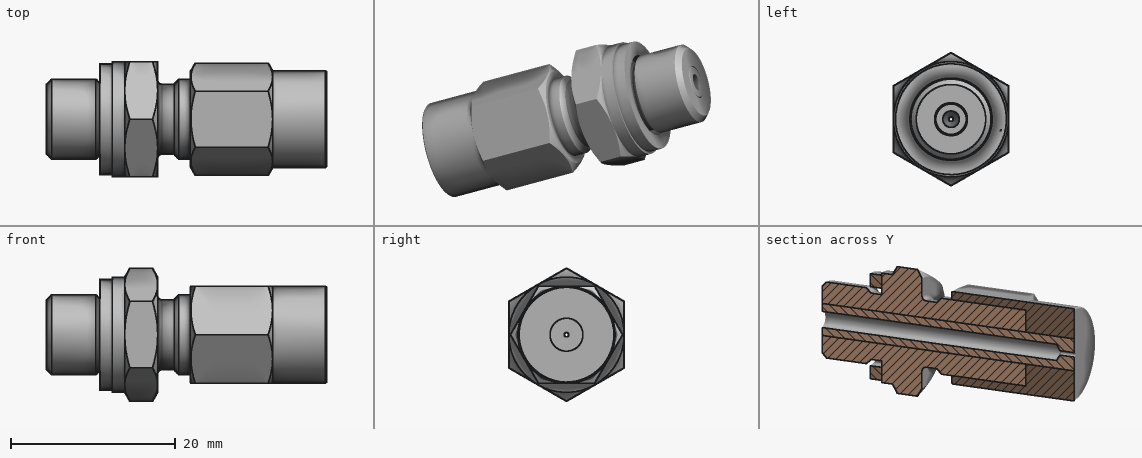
import cadquery as cq
import math


front_end_chamfer = 0.65
thread_diameter = 9.728
neck_diameter = 8.5
thread_tip_diameter = 8.566
thread_chamfer = (thread_diameter - thread_tip_diameter) / 2
front_thread_end = 6.0
collar_diameter = 14.0
collar_start = 8.0
hex_start = 9.5
hex_end = 13.5
neck_fillet = 0.5
rear_thread_start = 15.5

hex_chamfer_angle = math.radians(30)
corner_ratio = 1 / math.cos(math.pi / 6)
fitting_hex_flats = collar_diameter
corners_along_y = 0
corners_along_z = 90

seal_outer_diameter = 13.45
seal_inner_diameter = 10.0
seal_width = 1.5

nut_start = 17.45
nut_hex_end = 27.45
nut_end = 34.0
nut_diameter = 11.8
nut_face_diameter = 11.5
nut_edge_chamfer = 0.15
thread_end = nut_hex_end

core_diameter = 4.0
core_edge_chamfer = 0.15
bore_diameter = 2.0
orifice_diameter = 0.5
orifice_length = 2.0
drill_point_angle = math.radians(118)


def revolve_about_x(profile):
    """Revolve a closed half profile in the XY plane (y = radius) about the X axis."""
    return profile.close().revolve(360, (0, 0, 0), (1, 0, 0))


def rod(x_start, x_end, diameter):
    """Solid cylinder on the X axis."""
    return cq.Workplane("YZ", origin=(x_start, 0, 0)).circle(diameter / 2).extrude(x_end - x_start)


def chamfered_hex(x_start, x_end, flats, corner_turn, start_circle, end_circle):
    """Hexagonal prism on X whose corners are cut by a 30 degree cone at each end."""
    corner_radius = flats * corner_ratio / 2
    start_radius = start_circle / 2
    end_radius = end_circle / 2
    start_run = (corner_radius - start_radius) * math.tan(hex_chamfer_angle)
    end_run = (corner_radius - end_radius) * math.tan(hex_chamfer_angle)
    prism = (
        cq.Workplane("YZ", origin=(x_start, 0, 0))
        .polygon(6, 2 * corner_radius)
        .extrude(x_end - x_start)
        .rotate((0, 0, 0), (1, 0, 0), corner_turn)
    )
    envelope = revolve_about_x(
        cq.Workplane("XY")
        .moveTo(x_start, 0)
        .lineTo(x_start, start_radius)
        .lineTo(x_start + start_run, corner_radius)
        .lineTo(x_end - end_run, corner_radius)
        .lineTo(x_end, end_radius)
        .lineTo(x_end, 0)
    )
    return prism.intersect(envelope)


def make_fitting():
    """Two threads with relief necks, a round collar and a hexagon, bored for the core."""
    thread_radius = thread_diameter / 2
    tip_radius = thread_tip_diameter / 2
    neck_radius = neck_diameter / 2
    collar_radius = collar_diameter / 2
    fillet_offset = neck_fillet * (1 - math.sqrt(0.5))
    turned = revolve_about_x(
        cq.Workplane("XY")
        .lineTo(0, thread_radius - front_end_chamfer)
        .lineTo(front_end_chamfer, thread_radius)
        .lineTo(front_thread_end, thread_radius)
        .lineTo(front_thread_end + thread_chamfer, tip_radius)
        .lineTo(front_thread_end + thread_chamfer, neck_radius)
        .lineTo(collar_start, neck_radius)
        .lineTo(collar_start, collar_radius)
        .lineTo(hex_start, collar_radius)
        .lineTo(hex_start, neck_radius + neck_fillet)
        .lineTo(hex_end, neck_radius + neck_fillet)
        .threePointArc(
            (hex_end + fillet_offset, neck_radius + fillet_offset),
            (hex_end + neck_fillet, neck_radius),
        )
        .lineTo(rear_thread_start, neck_radius)
        .lineTo(rear_thread_start, tip_radius)
        .lineTo(rear_thread_start + thread_chamfer, thread_radius)
        .lineTo(thread_end, thread_radius)
        .lineTo(thread_end, 0)
    )
    hexagon = chamfered_hex(
        hex_start, hex_end, fitting_hex_flats, corners_along_z, fitting_hex_flats, fitting_hex_flats
    )
    return turned.union(hexagon).cut(rod(0, thread_end, core_diameter))


def make_seal():
    """Flat ring that rests on the front face of the collar, clear of the thread."""
    seal_start = collar_start - seal_width
    ring = rod(seal_start, collar_start, seal_outer_diameter)
    return ring.cut(rod(seal_start, collar_start, seal_inner_diameter))


def make_nut():
    """Hexagon nut with a round rear sleeve, hollowed for the rear thread and the core."""
    hexagon = chamfered_hex(
        nut_start, nut_hex_end, nut_diameter, corners_along_y, nut_face_diameter, nut_diameter
    )
    sleeve = rod(nut_hex_end, nut_end, nut_diameter).faces(">X").chamfer(nut_edge_chamfer)
    thread_socket = rod(nut_start, thread_end, thread_diameter)
    core_hole = rod(thread_end, nut_end, core_diameter)
    return hexagon.union(sleeve).cut(thread_socket).cut(core_hole)


def make_core():
    """Rod along the full length: a drilled bore with a conical bottom and a fine orifice."""
    bore_radius = bore_diameter / 2
    orifice_radius = orifice_diameter / 2
    cone_end = nut_end - orifice_length
    cone_length = (bore_radius - orifice_radius) / math.tan(drill_point_angle / 2)
    blank = rod(0, nut_end, core_diameter).faces("<X").chamfer(core_edge_chamfer)
    passage = revolve_about_x(
        cq.Workplane("XY")
        .lineTo(0, bore_radius)
        .lineTo(cone_end - cone_length, bore_radius)
        .lineTo(cone_end, orifice_radius)
        .lineTo(nut_end, orifice_radius)
        .lineTo(nut_end, 0)
    )
    return blank.cut(passage)


fitting = make_fitting()
seal = make_seal()
nut = make_nut()
core = make_core()

result = cq.Compound.makeCompound([body.solids().val() for body in (fitting, seal, nut, core)])